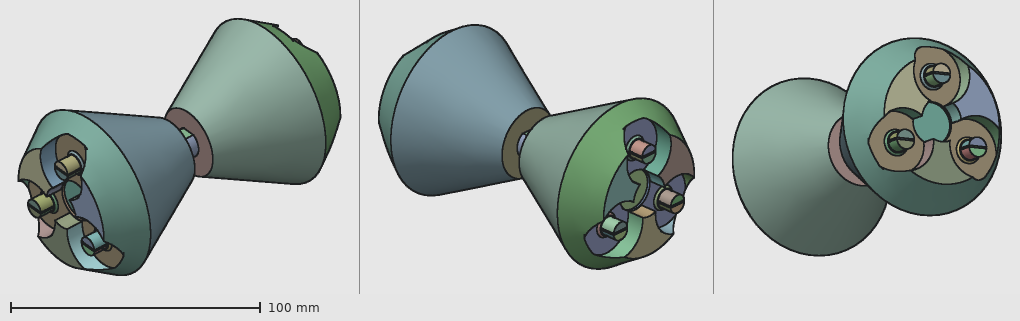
import cadquery as cq
import math

length = 125.0
gap = 9.5
half_length = length / 2
inner_face = gap / 2

rim_radius = 36.1
neck_radius = 15.0
end_radius = 26.2
end_taper_length = 16.2

pocket_count = 3
pocket_pitch_radius = 19.0
pocket_radius = 12.7
pocket_depth = 8.0
pin_diameter = 8.0
foot_bottom_diameter = 10.7
foot_top_diameter = 8.7
foot_height = 1.0
slit_width = 0.7

shaft_diameter = 12.5
shaft_flat_height = 5.5
head_diameter = 17.5
recess_mouth_diameter = 17.9
head_recess_depth = 9.2
head_thickness = 3.7

pocket_floor = half_length - pocket_depth
head_face = half_length - head_recess_depth
head_seat = head_face - head_thickness


def cylinder(radius, y_start, y_end, x=0.0, z=0.0):
    """Cylinder along Y between two Y positions."""
    axis_start = cq.Vector(x, y_start, z)
    return cq.Workplane(cq.Solid.makeCylinder(radius, y_end - y_start, axis_start, cq.Vector(0, 1, 0)))


def make_pin(x, z):
    """Pin on the pocket floor with a conical foot, split lengthwise above the foot by a slit."""
    pin = cylinder(pin_diameter / 2, pocket_floor, half_length, x, z)
    foot_center = cq.Vector(x, pocket_floor, z)
    foot = cq.Solid.makeCone(
        foot_bottom_diameter / 2, foot_top_diameter / 2, foot_height, foot_center, cq.Vector(0, 1, 0)
    )
    slit_start = pocket_floor + foot_height
    slit_length = half_length - slit_start
    slit = cq.Workplane().box(pin_diameter, slit_length, slit_width)
    slit = slit.translate((x, slit_start + slit_length / 2, z))
    return pin.union(cq.Workplane(foot)).cut(slit)


def make_shaft_rod():
    """Round rod with a flat along its top."""
    rod = cylinder(shaft_diameter / 2, -head_seat, head_seat)
    above_flat = cq.Workplane().box(
        shaft_diameter, length, shaft_diameter, centered=(True, True, False)
    )
    above_flat = above_flat.translate((0, 0, shaft_flat_height))
    return rod.cut(above_flat)


def make_shaft():
    """Rod with a round head at each end."""
    head = cylinder(head_diameter / 2, head_seat, head_face)
    return make_shaft_rod().union(head).union(head.mirror("XZ"))


def pocket_centers():
    """X and Z of the pockets, evenly spaced on a circle with the first one at the top."""
    centers = []
    for index in range(pocket_count):
        angle = math.radians(90 + index * 360 / pocket_count)
        centers.append((pocket_pitch_radius * math.cos(angle), pocket_pitch_radius * math.sin(angle)))
    return centers


def make_knob():
    """Double-cone knob on the +Y side, bored for the shaft, with a pin standing in each pocket."""
    profile = [
        (0, inner_face),
        (neck_radius, inner_face),
        (rim_radius, half_length - end_taper_length),
        (end_radius, half_length),
        (0, half_length),
    ]
    knob = cq.Workplane("XY").polyline(profile).close().revolve(360, (0, 0, 0), (0, 1, 0))
    knob = knob.cut(make_shaft_rod())
    knob = knob.cut(cylinder(head_diameter / 2, head_seat, half_length))
    knob = knob.cut(cylinder(recess_mouth_diameter / 2, pocket_floor, half_length))

    centers = pocket_centers()
    for x, z in centers:
        knob = knob.cut(cylinder(pocket_radius, pocket_floor, half_length, x, z))
    for x, z in centers:
        knob = knob.union(make_pin(x, z))
    return knob


shaft = make_shaft()
back_knob = make_knob()
front_knob = back_knob.mirror("XZ")
result = cq.Compound.makeCompound([shaft.val(), back_knob.val(), front_knob.val()])